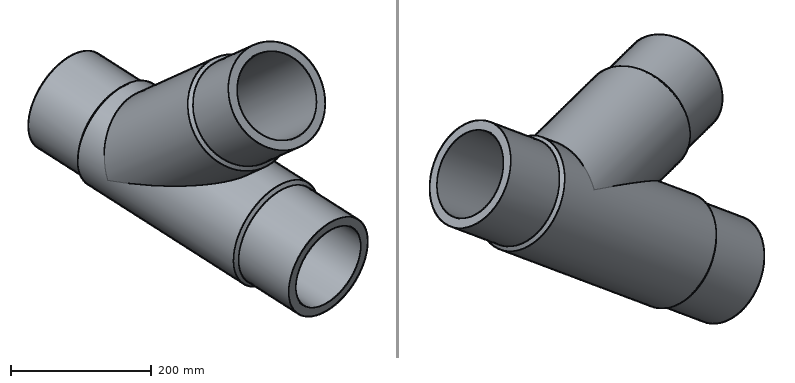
import cadquery as cq

run_length = 526.0
spigot_diameter = 160.0
body_diameter = 171.5
bore_diameter = 131.0
spigot_length = 101.0
chamfer_length = 4.5

branch_angle = 45.0
branch_start_x = 166.0
branch_length = 362.0

spigot_radius = spigot_diameter / 2
body_radius = body_diameter / 2


def revolve_about_x(profile):
    return profile.close().revolve(360, (0, 0, 0), (1, 0, 0))


def place_on_branch(solid):
    """Tilt a solid lying along +X upward and move it to the branch origin."""
    tilted = solid.rotate((0, 0, 0), (0, 1, 0), -branch_angle)
    return tilted.translate((branch_start_x, 0, 0))


def bore(length):
    return cq.Workplane("YZ").circle(bore_diameter / 2).extrude(length)


def make_run():
    """Thick body with a chamfered shoulder and a thinner spigot at each end."""
    body_end = run_length - spigot_length
    profile = (
        cq.Workplane("XZ")
        .polyline([
            (0, 0),
            (0, spigot_radius),
            (spigot_length, spigot_radius),
            (spigot_length + chamfer_length, body_radius),
            (body_end - chamfer_length, body_radius),
            (body_end, spigot_radius),
            (run_length, spigot_radius),
            (run_length, 0),
        ])
    )
    return revolve_about_x(profile)


def make_branch():
    """Thick body starting on the run axis, with one shoulder and spigot."""
    body_end = branch_length - spigot_length
    profile = (
        cq.Workplane("XZ")
        .polyline([
            (0, 0),
            (0, body_radius),
            (body_end - chamfer_length, body_radius),
            (body_end, spigot_radius),
            (branch_length, spigot_radius),
            (branch_length, 0),
        ])
    )
    return place_on_branch(revolve_about_x(profile))


outside = make_run().union(make_branch())
result = outside.cut(bore(run_length)).cut(place_on_branch(bore(branch_length)))